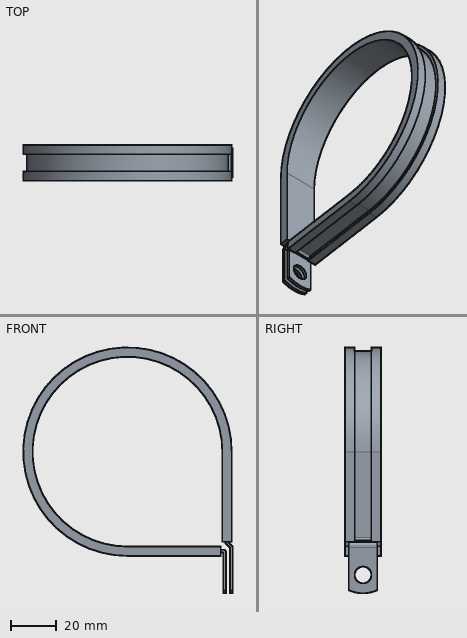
import cadquery as cq
import math

total_height = 107.4
loop_radius = 45.5
cushion_thickness = 4.2
cushion_width = 15.8

groove_depth = 1.5
groove_width = 7.4
band_thickness = 1.3
stop_thickness = 0.9
stop_recess = 0.3

tab_width = 12.6
tab_tip_rise = 1.4
tab_gap = 1.6

upright_end_z = -39.4
flat_end_x = 40.8

tab_overhang = 0.4
jog_start_drop = 0.3
jog_angle = math.radians(45)
jog_round = 0.9
corner_round = 1.2
hole_diameter = 7.2
hole_to_tip = 8.1

inner_radius = loop_radius - cushion_thickness
band_outer = loop_radius - groove_depth
band_inner = band_outer - band_thickness
tip_z = loop_radius - total_height
outer_tab_right = loop_radius + tab_overhang
outer_tab_left = outer_tab_right - band_thickness
inner_tab_right = outer_tab_left - tab_gap
inner_tab_left = inner_tab_right - band_thickness


def extrude_along_y(sketch, width):
    """Extrude an XZ outline symmetrically about the Y = 0 plane."""
    return sketch.extrude(width / 2, both=True)


def strap(outer, inner, width):
    """Three-quarter loop with one leg going down and one going right."""
    diagonal = math.sqrt(0.5)
    outline = (
        cq.Workplane("XZ")
        .moveTo(outer, upright_end_z)
        .lineTo(outer, 0)
        .threePointArc((-outer * diagonal, outer * diagonal), (0, -outer))
        .lineTo(flat_end_x, -outer)
        .lineTo(flat_end_x, -inner)
        .lineTo(0, -inner)
        .threePointArc((-inner * diagonal, inner * diagonal), (inner, 0))
        .lineTo(inner, upright_end_z)
        .close()
    )
    return extrude_along_y(outline, width)


def cushion():
    """Cushion strip with a groove around its outside."""
    groove = strap(loop_radius, band_outer, groove_width)
    return strap(loop_radius, inner_radius, cushion_width).cut(groove)


def groove_stop(leg_end):
    """Groove stop on a leg pointing along +X and ending at leg_end."""
    crest = loop_radius - stop_recess
    foot_radius = crest - band_outer
    wall = leg_end - stop_thickness
    foot_start = wall - foot_radius
    reach = foot_radius * math.sqrt(0.5)
    outline = (
        cq.Workplane("XZ")
        .moveTo(leg_end, -band_inner)
        .lineTo(leg_end, -crest)
        .lineTo(wall, -crest)
        .threePointArc((foot_start + reach, -crest + reach), (foot_start, -band_outer))
        .lineTo(foot_start, -band_inner)
        .close()
    )
    return extrude_along_y(outline, groove_width)


def groove_stops():
    """Stops at the ends of the flat leg and the upright leg."""
    flat_stop = groove_stop(flat_end_x)
    upright_stop = (
        groove_stop(-upright_end_z)
        .rotate((0, 0, 0), (0, 1, 0), 90)
        .mirror("YZ")
    )
    return [flat_stop, upright_stop]


def outer_tab():
    """Tab below the upright leg, jogged outward by an angled step."""
    jog_top = upright_end_z - jog_start_drop
    jog_bottom = jog_top - (outer_tab_right - band_outer) / math.tan(jog_angle)
    miter = band_thickness / 2 * math.tan(jog_angle / 2)
    outline = cq.Workplane("XZ").polyline([
        (band_outer, upright_end_z),
        (band_outer, jog_top + miter),
        (outer_tab_right, jog_bottom + miter),
        (outer_tab_right, tip_z),
        (outer_tab_left, tip_z),
        (outer_tab_left, jog_bottom - miter),
        (band_inner, jog_top - miter),
        (band_inner, upright_end_z),
    ]).close()
    shoulder = cq.selectors.NearestToPointSelector((outer_tab_right, 0, jog_bottom + miter))
    return extrude_along_y(outline, tab_width).edges("|Y").edges(shoulder).fillet(jog_round)


def inner_tab():
    """Tab bent downward from the end of the flat leg."""
    outline = cq.Workplane("XZ").polyline([
        (flat_end_x, -band_inner),
        (inner_tab_right, -band_inner),
        (inner_tab_right, tip_z),
        (inner_tab_left, tip_z),
        (inner_tab_left, -band_outer),
        (flat_end_x, -band_outer),
    ]).close()
    corner = cq.selectors.NearestToPointSelector((inner_tab_right, 0, -band_inner))
    return extrude_along_y(outline, tab_width).edges("|Y").edges(corner).fillet(corner_round)


def tab_envelope():
    """Block covering both tabs, with the rounded tip and the fixing hole."""
    half_width = tab_width / 2
    side_end_z = tip_z + tab_tip_rise
    length = outer_tab_right - flat_end_x
    plate = (
        cq.Workplane("YZ", origin=(flat_end_x, 0, 0))
        .moveTo(-half_width, upright_end_z)
        .lineTo(-half_width, side_end_z)
        .threePointArc((0, tip_z), (half_width, side_end_z))
        .lineTo(half_width, upright_end_z)
        .close()
        .extrude(length)
    )
    hole = (
        cq.Workplane("YZ", origin=(flat_end_x, 0, tip_z + hole_to_tip))
        .circle(hole_diameter / 2)
        .extrude(length)
    )
    return plate.cut(hole)


tabs = [tab.intersect(tab_envelope()) for tab in (outer_tab(), inner_tab())]

result = cushion()
for part in groove_stops() + tabs:
    result = result.union(part)